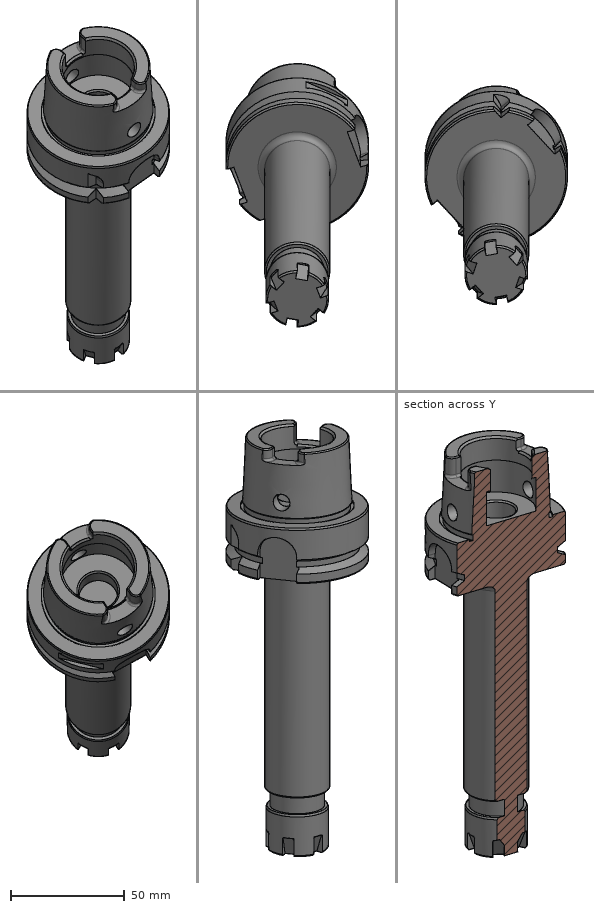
import cadquery as cq
import math

total_height = 192.0

taper_length = 32.0
taper_top_radius = 22.8
taper_base_radius = 24.2
rim_chamfer = 0.5
neck_radius = 23.6
neck_height = 2.1
relief_radius = 25.2
relief_depth = 1.0

flange_radius = 31.5
flange_height = 26.1
flange_top_chamfer_width = 0.4
flange_top_chamfer_height = 1.0
flange_bottom_chamfer = 0.8
groove_radius = 27.6
groove_floor_height = 2.7
groove_mouth_height = 6.7
groove_center_above_bottom = 8.0

shank_radius = 14.4
shank_root_fillet = 2.9
shank_bottom_z = 27.6
shank_bottom_chamfer = 0.8
nut_neck_radius = 12.0
nut_radius = 13.8
nut_height = 19.8
nut_top_chamfer_width = 0.4
nut_top_chamfer_height = 1.0
nut_bottom_chamfer = 0.8

spanner_slot_count = 6
spanner_slot_width = 5.2
spanner_slot_height = 8.6
spanner_slot_top_depth = 0.8
spanner_slot_floor_angle = 20
spanner_slot_fillet = 0.8

bore_radius = 16.0
bore_chamfer = 1.0
bore_lip_height = 11.5
bore_recess_radius = 17.5
bore_depth = 27.8
coolant_radius = 8.6
coolant_chamfer = 0.8
coolant_depth = 9.6

drive_slot_width = 12.0
deep_drive_slot_depth = 9.6
shallow_drive_slot_depth = 5.5
tongue_end_radius = 3.3
tongue_end_x = 20.7
drive_slot_floor_fillet = 1.2

cross_hole_radius = 3.8
cross_hole_depth = 23.0

key_slot_width = 18.0
key_slot_floor = 26.5
key_slot_height = 21.3
notch_floor_x = 20.0
notch_wall_y = -19.4
notch_arch_radius = 7.1
pocket_floor_radius = 29.8
pocket_top_drop = 4.2
pocket_height = 6.0
pocket_angle = 135

flange_top_z = total_height - taper_length
flange_bottom_z = flange_top_z - flange_height


def make_body():
    groove_z = flange_bottom_z + groove_center_above_bottom
    half_floor = groove_floor_height / 2
    half_mouth = groove_mouth_height / 2
    neck_top_z = flange_top_z + neck_height
    step = taper_base_radius - neck_radius
    outline = (
        cq.Workplane("XZ")
        .moveTo(0, 0)
        .lineTo(nut_radius - nut_bottom_chamfer, 0)
        .lineTo(nut_radius, nut_bottom_chamfer)
        .lineTo(nut_radius, nut_height - nut_top_chamfer_height)
        .lineTo(nut_radius - nut_top_chamfer_width, nut_height)
        .lineTo(nut_neck_radius, nut_height)
        .lineTo(nut_neck_radius, shank_bottom_z)
        .lineTo(shank_radius - shank_bottom_chamfer, shank_bottom_z)
        .lineTo(shank_radius, shank_bottom_z + shank_bottom_chamfer)
        .lineTo(shank_radius, flange_bottom_z - shank_root_fillet)
        .radiusArc((shank_radius + shank_root_fillet, flange_bottom_z), shank_root_fillet)
        .lineTo(flange_radius - flange_bottom_chamfer, flange_bottom_z)
        .lineTo(flange_radius, flange_bottom_z + flange_bottom_chamfer)
        .lineTo(flange_radius, groove_z - half_mouth)
        .lineTo(groove_radius, groove_z - half_floor)
        .lineTo(groove_radius, groove_z + half_floor)
        .lineTo(flange_radius, groove_z + half_mouth)
        .lineTo(flange_radius, flange_top_z - flange_top_chamfer_height)
        .lineTo(flange_radius - flange_top_chamfer_width, flange_top_z)
        .lineTo(relief_radius, flange_top_z)
        .lineTo(relief_radius, flange_top_z - relief_depth)
        .lineTo(neck_radius, flange_top_z - relief_depth)
        .lineTo(neck_radius, neck_top_z - step)
        .lineTo(taper_base_radius, neck_top_z)
        .lineTo(taper_top_radius, total_height - rim_chamfer)
        .lineTo(taper_top_radius - rim_chamfer, total_height)
        .lineTo(0, total_height)
        .close()
    )
    return outline.revolve(360, (0, 0, 0), (0, 1, 0))


def make_bore():
    lip_z = total_height - bore_lip_height
    floor_z = total_height - bore_depth
    outline = (
        cq.Workplane("XZ")
        .moveTo(0, total_height)
        .lineTo(bore_radius + bore_chamfer, total_height)
        .lineTo(bore_radius, total_height - bore_chamfer)
        .lineTo(bore_radius, lip_z)
        .lineTo(bore_recess_radius, lip_z)
        .lineTo(bore_recess_radius, floor_z)
        .lineTo(coolant_radius + coolant_chamfer, floor_z)
        .lineTo(coolant_radius, floor_z - coolant_chamfer)
        .lineTo(coolant_radius, floor_z - coolant_depth)
        .lineTo(0, floor_z - coolant_depth)
        .close()
    )
    return outline.revolve(360, (0, 0, 0), (0, 1, 0))


def drive_slot_outline(z):
    """Slot outline along +X that flares around the rounded ends of the two tongues."""
    half = drive_slot_width / 2
    flare = half + tongue_end_radius
    round_start_x = tongue_end_x - tongue_end_radius
    return (
        cq.Workplane("XY")
        .workplane(offset=z)
        .moveTo(0, -half)
        .lineTo(round_start_x, -half)
        .radiusArc((tongue_end_x, -flare), tongue_end_radius)
        .lineTo(tongue_end_x, -taper_base_radius)
        .lineTo(flange_radius, -taper_base_radius)
        .lineTo(flange_radius, taper_base_radius)
        .lineTo(tongue_end_x, taper_base_radius)
        .lineTo(tongue_end_x, flare)
        .radiusArc((round_start_x, half), tongue_end_radius)
        .lineTo(0, half)
        .close()
    )


def make_drive_slot(depth):
    """Drive slot with a filleted floor, chamfered tongue tops and a chamfered bore edge."""
    floor_z = total_height - depth
    slot = drive_slot_outline(floor_z).extrude(depth).faces("<Z").edges().fillet(drive_slot_floor_fillet)
    tongue_chamfer = drive_slot_outline(total_height - rim_chamfer).extrude(rim_chamfer, taper=-45)
    floor_width = drive_slot_width - 2 * drive_slot_floor_fillet
    floor_strip = (
        cq.Workplane("XY")
        .box(flange_radius, floor_width, bore_chamfer, centered=(False, True, False))
        .translate((0, 0, floor_z - bore_chamfer))
    )
    bore_edge = (
        cq.Workplane("XY")
        .workplane(offset=floor_z)
        .circle(bore_radius + bore_chamfer)
        .workplane(offset=-bore_chamfer)
        .circle(bore_radius)
        .loft()
        .intersect(floor_strip)
    )
    return slot.union(tongue_chamfer).union(bore_edge)


def make_arched_slot(width, height):
    """Slot along +X with a rounded top, starting at x = 0 and z = 0."""
    half = width / 2
    return (
        cq.Workplane("YZ")
        .moveTo(-half, 0)
        .lineTo(half, 0)
        .lineTo(half, height - half)
        .threePointArc((0, height), (-half, height - half))
        .close()
        .extrude(flange_radius)
    )


def make_key_slots():
    slot = make_arched_slot(key_slot_width, key_slot_height).translate((key_slot_floor, 0, flange_bottom_z))
    return slot.union(slot.rotate((0, 0, 0), (0, 0, 1), 180))


def make_notch():
    center_y = notch_wall_y - notch_arch_radius
    return make_arched_slot(2 * notch_arch_radius, key_slot_height).translate(
        (notch_floor_x, center_y, flange_bottom_z)
    )


def make_pocket():
    top_z = flange_top_z - pocket_top_drop
    return (
        cq.Workplane("XY")
        .box(flange_radius, 2 * flange_radius, pocket_height, centered=(False, True, False))
        .translate((pocket_floor_radius, 0, top_z - pocket_height))
        .rotate((0, 0, 0), (0, 0, 1), pocket_angle)
    )


def make_cross_hole():
    return (
        cq.Workplane("YZ")
        .center(0, total_height - cross_hole_depth)
        .circle(cross_hole_radius)
        .extrude(flange_radius, both=True)
    )


def make_spanner_slot(angle):
    """Slot in the nut rim whose floor leans inward toward the nut face."""
    top_x = nut_radius - spanner_slot_top_depth
    bottom_x = top_x - spanner_slot_height * math.tan(math.radians(spanner_slot_floor_angle))
    slot_end_x = 2 * nut_radius
    return (
        cq.Workplane("XZ")
        .workplane(offset=-spanner_slot_width / 2)
        .moveTo(bottom_x, 0)
        .lineTo(slot_end_x, 0)
        .lineTo(slot_end_x, spanner_slot_height)
        .lineTo(top_x, spanner_slot_height)
        .close()
        .extrude(spanner_slot_width)
        .edges("|X and >Z")
        .fillet(spanner_slot_fillet)
        .rotate((0, 0, 0), (0, 0, 1), angle)
    )


result = make_body().cut(make_bore())
result = result.cut(make_drive_slot(deep_drive_slot_depth).rotate((0, 0, 0), (0, 0, 1), 180))
result = result.cut(make_drive_slot(shallow_drive_slot_depth))
result = result.cut(make_cross_hole())
result = result.cut(make_key_slots()).cut(make_notch()).cut(make_pocket())
for index in range(spanner_slot_count):
    result = result.cut(make_spanner_slot(index * 360 / spanner_slot_count))